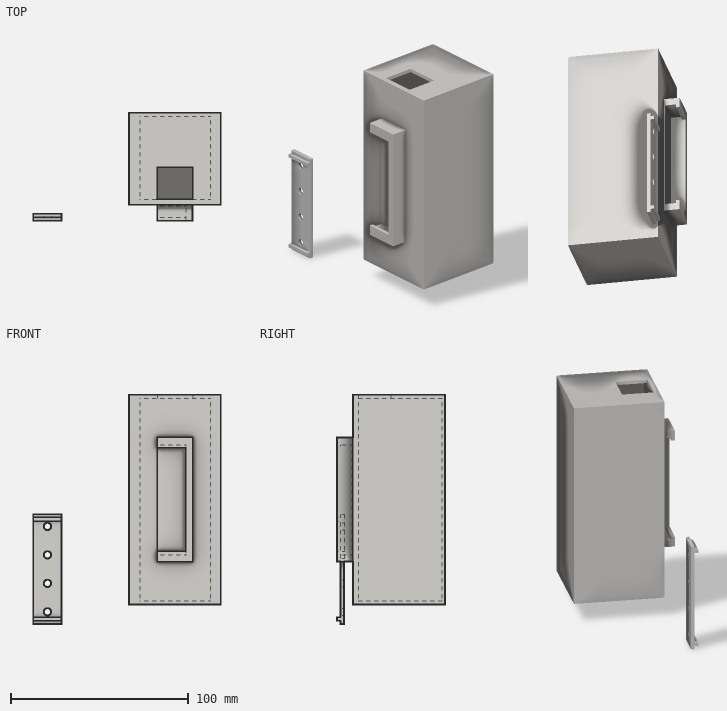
import cadquery as cq

block_width = 51.7
block_depth = 52.0
block_height = 118.3
front_wall = 3.1
side_wall = 6.0
back_wall = 2.1
floor_thickness = 2.1
lid_thickness = 2.1

bracket_width = 20.0
bracket_height = 70.0
bracket_depth = 9.0
channel_length = 16.0
channel_height = 61.9
channel_floor = 0.5
lip_thickness = 2.1
lip_reach = 1.8

lid_opening_depth = 18.2

plate_width = 16.0
plate_height = 61.9
plate_thickness = 2.1
rail_height = 2.1
rail_inset = 1.8
rail_depth = 2.1
hole_diameter = 4.0
hole_pitch = 16.0
hole_count = 4
total_width = 105.6
total_height = 129.3

bracket_left = -bracket_width / 2
bracket_base = (block_height - bracket_height) / 2
plate_left = block_width / 2 - total_width
plate_base = block_height - total_height
plate_front = rail_depth - bracket_depth


def box(x, y, z, width, depth, height):
    """Box with its lowest corner at (x, y, z)."""
    return cq.Workplane("XY").box(width, depth, height, centered=False).translate((x, y, z))


def make_bracket():
    """Bracket with a lipped channel that is open toward -X."""
    body = box(bracket_left, -bracket_depth, bracket_base, bracket_width, bracket_depth, bracket_height)
    channel = box(
        bracket_left,
        lip_thickness - bracket_depth,
        (block_height - channel_height) / 2,
        channel_length,
        bracket_depth - lip_thickness - channel_floor,
        channel_height,
    )
    opening_height = channel_height - 2 * lip_reach
    opening = box(
        bracket_left,
        -bracket_depth,
        (block_height - opening_height) / 2,
        channel_length,
        bracket_depth - channel_floor,
        opening_height,
    )
    return body.cut(channel).cut(opening)


def make_housing():
    """Hollow block with an opening in its lid and the bracket on its front."""
    block = box(-block_width / 2, 0, 0, block_width, block_depth, block_height)
    cavity = box(
        side_wall - block_width / 2,
        front_wall,
        floor_thickness,
        block_width - 2 * side_wall,
        block_depth - front_wall - back_wall,
        block_height - floor_thickness - lid_thickness,
    )
    lid_opening = box(
        bracket_left,
        front_wall,
        block_height - lid_thickness,
        bracket_width,
        lid_opening_depth,
        lid_thickness,
    )
    return block.cut(cavity).cut(lid_opening).union(make_bracket())


def make_plate():
    """Flat plate with a rail near each end and a row of through holes."""
    plate = box(plate_left, plate_front, plate_base, plate_width, plate_thickness, plate_height)
    lower_rail = plate_base + rail_inset
    upper_rail = plate_base + plate_height - rail_inset - rail_height
    for rail_base in (lower_rail, upper_rail):
        plate = plate.union(
            box(plate_left, plate_front - rail_depth, rail_base, plate_width, rail_depth, rail_height)
        )
    first_hole = plate_base + (plate_height - (hole_count - 1) * hole_pitch) / 2
    for index in range(hole_count):
        hole = (
            cq.Workplane("XZ")
            .center(plate_left + plate_width / 2, first_hole + index * hole_pitch)
            .circle(hole_diameter / 2)
            .extrude(-plate_thickness)
            .translate((0, plate_front, 0))
        )
        plate = plate.cut(hole)
    return plate


housing = make_housing()
plate = make_plate()
result = cq.Compound.makeCompound([housing.val(), plate.val()])